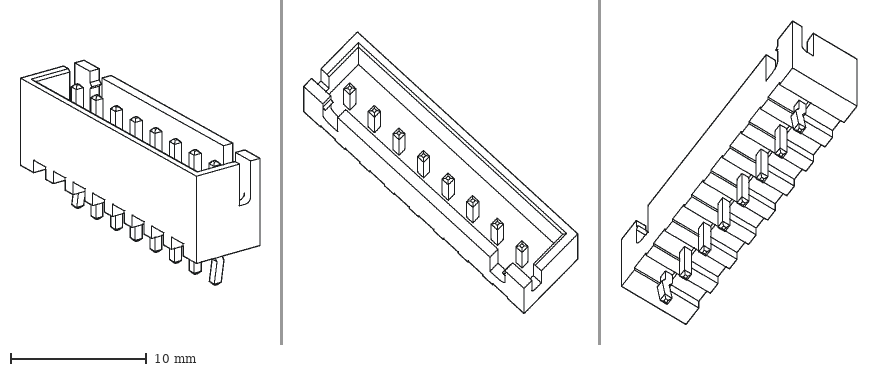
import cadquery as cq

PIN_COUNT = 8
PITCH = 2.5
PIN_SIZE = 0.64
PIN_TOP = 6.5
PIN_BOTTOM = -3.4
TIP_HEIGHT = 0.22
TIP_FLAT = 0.24

KINK_START = -0.9
KINK_PEAK = -1.45
KINK_OFFSET = 0.29
KINK_TAIL_OFFSET = 0.04

END_MARGIN = 2.45
LENGTH = (PIN_COUNT - 1) * PITCH + 2 * END_MARGIN
WIDTH = 5.75
HEIGHT = 7.0
BACK_Y = 2.35
FRONT_Y = BACK_Y - WIDTH
HALF_LENGTH = LENGTH / 2

END_WALL = 0.82
FRONT_WALL = 0.75
BACK_WALL = 0.85
FLOOR_Z = 2.0
LEAD_IN_WIDTH = 0.2
LEAD_IN_DEPTH = 0.2

END_SLOT_WIDTH = 1.0
END_SLOT_DEPTH = 3.35
END_SLOT_FILLET = 0.5

NOTCH_OUTER = 1.95
NOTCH_INNER = 3.46
NOTCH_DEPTH = 3.9
NOTCH_FILLET = 0.8
LATCH_SIZE = 0.25
LATCH_TOP_DEPTH = 0.9

VENT_WIDTH = 1.5
VENT_BACK_HEIGHT = 0.3
VENT_FRONT_HEIGHT = 1.0
VENT_SLOPE_LENGTH = 0.43

pin_positions = [(i - (PIN_COUNT - 1) / 2) * PITCH for i in range(PIN_COUNT)]


def box(x_min, x_max, y_min, y_max, z_min, z_max):
    size = (x_max - x_min, y_max - y_min, z_max - z_min)
    return cq.Workplane("XY").box(*size, centered=False).translate((x_min, y_min, z_min))


def cavity():
    """Mating cavity, with a sloped lead-in along the rim of the front and end walls."""
    half = HALF_LENGTH - END_WALL
    front = FRONT_Y + FRONT_WALL
    back = BACK_Y - BACK_WALL
    pocket = box(-half, half, front, back, FLOOR_Z, HEIGHT)
    rim_half = half + LEAD_IN_WIDTH
    rim_front = front - LEAD_IN_WIDTH
    lead_in = (
        cq.Workplane("XY", origin=(0, 0, HEIGHT - LEAD_IN_DEPTH))
        .polyline([(-half, front), (half, front), (half, back), (-half, back)])
        .close()
        .workplane(offset=LEAD_IN_DEPTH)
        .polyline([(-rim_half, rim_front), (rim_half, rim_front), (rim_half, back), (-rim_half, back)])
        .close()
        .loft(ruled=True)
    )
    return pocket.union(lead_in)


def end_slots():
    """Slot through both end walls, rounded where its floor meets the back wall."""
    back = BACK_Y - BACK_WALL
    floor = HEIGHT - END_SLOT_DEPTH
    slot = box(-HALF_LENGTH, HALF_LENGTH, back - END_SLOT_WIDTH, back, floor, HEIGHT)
    return slot.edges(">Y and <Z").fillet(END_SLOT_FILLET)


def keying_notch():
    """Left-hand notch through the back wall, with a 45-degree latch ridge on its outer side."""
    outer = NOTCH_OUTER - HALF_LENGTH
    inner = NOTCH_INNER - HALF_LENGTH
    floor = HEIGHT - NOTCH_DEPTH
    ridge_top = HEIGHT - LATCH_TOP_DEPTH
    return (
        cq.Workplane("XZ", origin=(0, BACK_Y, 0))
        .moveTo(inner, HEIGHT)
        .lineTo(inner, floor)
        .lineTo(outer + NOTCH_FILLET, floor)
        .radiusArc((outer, floor + NOTCH_FILLET), NOTCH_FILLET)
        .lineTo(outer, ridge_top - 2 * LATCH_SIZE)
        .lineTo(outer + LATCH_SIZE, ridge_top - LATCH_SIZE)
        .lineTo(outer, ridge_top)
        .lineTo(outer, HEIGHT)
        .close()
        .extrude(BACK_WALL)
    )


def vent_channel(x):
    """Channel across the underside at one pin; its ceiling is raised in front of the pin."""
    slope_end = -PIN_SIZE / 2
    return (
        cq.Workplane("YZ", origin=(x - VENT_WIDTH / 2, 0, 0))
        .moveTo(BACK_Y, 0)
        .lineTo(BACK_Y, VENT_BACK_HEIGHT)
        .lineTo(slope_end, VENT_BACK_HEIGHT)
        .lineTo(slope_end - VENT_SLOPE_LENGTH, VENT_FRONT_HEIGHT)
        .lineTo(FRONT_Y, VENT_FRONT_HEIGHT)
        .lineTo(FRONT_Y, 0)
        .close()
        .extrude(VENT_WIDTH)
    )


def pin_tip(y, z_base, z_end):
    """Tapered end of a pin between its full section and its small flat."""
    return (
        cq.Workplane("XY", origin=(0, y, z_base))
        .rect(PIN_SIZE, PIN_SIZE)
        .workplane(offset=z_end - z_base)
        .rect(TIP_FLAT, TIP_FLAT)
        .loft(ruled=True)
    )


def pin(x, kink=0, tail=0):
    """Square pin with tapered ends; its tail bows toward +Y by kink and ends offset by tail."""
    half = PIN_SIZE / 2
    top = PIN_TOP - TIP_HEIGHT
    bottom = PIN_BOTTOM + TIP_HEIGHT
    profile = [
        (-half, top),
        (-half, KINK_START),
        (kink - half, KINK_PEAK),
        (tail - half, bottom),
        (tail + half, bottom),
        (kink + half, KINK_PEAK),
        (half, KINK_START),
        (half, top),
    ]
    shaft = cq.Workplane("YZ").polyline(profile).close().extrude(half, both=True)
    shaft = shaft.union(pin_tip(0, top, PIN_TOP)).union(pin_tip(tail, bottom, PIN_BOTTOM))
    return shaft.translate((x, 0, 0)).clean()


def housing():
    body = box(-HALF_LENGTH, HALF_LENGTH, FRONT_Y, BACK_Y, 0, HEIGHT)
    notch = keying_notch()
    body = body.cut(cavity()).cut(end_slots()).cut(notch).cut(notch.mirror("YZ"))
    for x in pin_positions:
        body = body.cut(vent_channel(x))
    return body


result = housing()
for x in pin_positions[1:-1]:
    result = result.union(pin(x))
for x in (pin_positions[0], pin_positions[-1]):
    result = result.union(pin(x, KINK_OFFSET, KINK_TAIL_OFFSET))